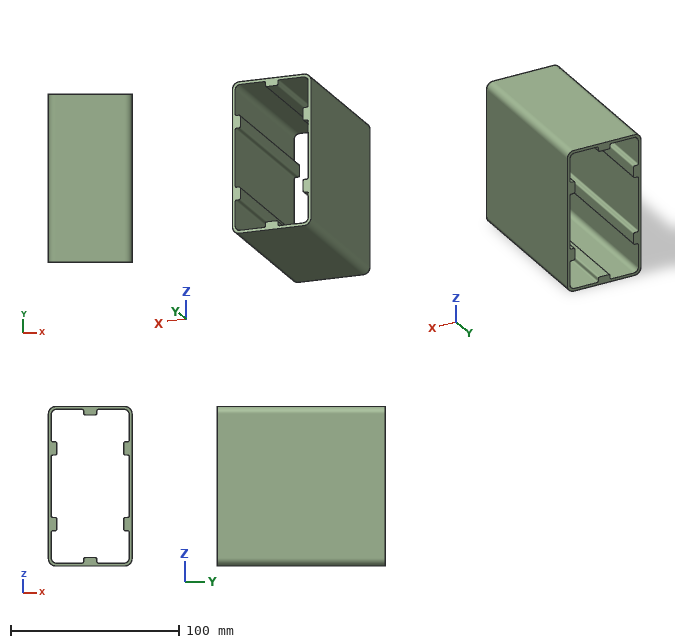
import cadquery as cq

width = 50.0
length = 100.0
height = 95.0
wall = 1.8
outer_radius = 4.5
inner_radius = 3.2

rib_width = 8.0
rib_height = 3.3
rib_edge_radius = 1.0
rib_root_radius = 1.0
side_rib_offset = 22.5

bore_width = width - 2 * wall
bore_height = height - 2 * wall


def long_box(size_x, size_z, x=0.0, z=0.0):
    """Box spanning the tube length, centred at (x, z)."""
    return cq.Workplane("XY").box(size_x, length, size_z).translate((x, 0, z))


def edges_at(body, corners):
    """Select the lengthwise edges that pass through the given (x, z) corners."""
    selected = body.edges(cq.selectors.NearestToPointSelector((corners[0][0], 0, corners[0][1])))
    for x, z in corners[1:]:
        selected = selected.add(body.edges(cq.selectors.NearestToPointSelector((x, 0, z))))
    return selected


def make_bore():
    """Tube opening with the ribs notched out of it."""
    bore = long_box(bore_width, bore_height).edges("|Y").fillet(inner_radius)
    half_rib = rib_width / 2
    roots = []
    tips = []

    for side in (-1, 1):
        wall_z = side * bore_height / 2
        tip_z = wall_z - side * rib_height
        bore = bore.cut(long_box(rib_width, rib_height, z=(wall_z + tip_z) / 2))
        for x in (-half_rib, half_rib):
            roots.append((x, wall_z))
            tips.append((x, tip_z))

        wall_x = side * bore_width / 2
        tip_x = wall_x - side * rib_height
        for rib_z in (-side_rib_offset, side_rib_offset):
            bore = bore.cut(long_box(rib_height, rib_width, (wall_x + tip_x) / 2, rib_z))
            for z in (rib_z - half_rib, rib_z + half_rib):
                roots.append((wall_x, z))
                tips.append((tip_x, z))

    bore = edges_at(bore, roots).fillet(rib_root_radius)
    return edges_at(bore, tips).fillet(rib_edge_radius)


outer = long_box(width, height).edges("|Y").fillet(outer_radius)
result = outer.cut(make_bore())